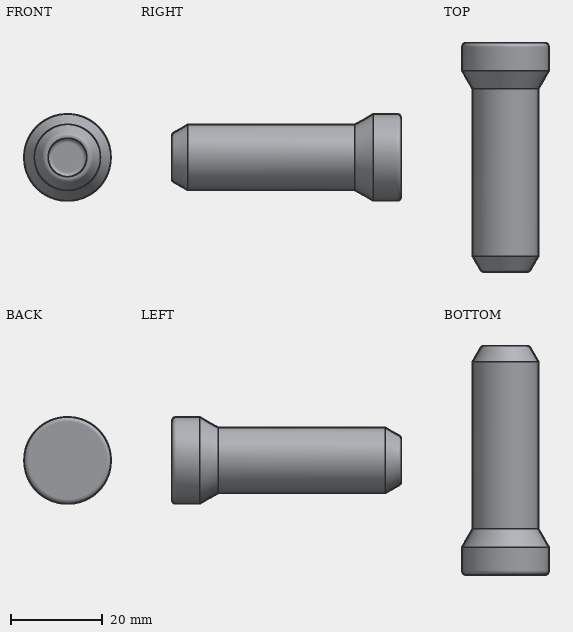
import cadquery as cq
import math

length = 50.0
head_radius = 9.5
shank_radius = 7.2
head_length = 6.1
taper_angle = math.radians(30)
tip_length = 3.5
head_fillet = 1.0
tip_fillet = 1.0

bore_radius = 4.2
bore_floor_radius = 3.25
bore_depth = 40.0

half_length = length / 2
head_taper_length = (head_radius - shank_radius) / math.tan(taper_angle)
tip_radius = shank_radius - tip_length * math.tan(taper_angle)


def make_body():
    """Revolve the solid outline about Y, then round both end rims."""
    body = (
        cq.Workplane("XY")
        .moveTo(0, -half_length)
        .lineTo(tip_radius, -half_length)
        .lineTo(shank_radius, -half_length + tip_length)
        .lineTo(shank_radius, half_length - head_length - head_taper_length)
        .lineTo(head_radius, half_length - head_length)
        .lineTo(head_radius, half_length)
        .lineTo(0, half_length)
        .close()
        .revolve(360, (0, 0, 0), (0, 1, 0))
    )
    body = body.faces(">Y").edges().fillet(head_fillet)
    return body.faces("<Y").edges().fillet(tip_fillet)


def make_bore():
    """Blind bore with a rounded floor corner, entering from the tip."""
    bore = (
        cq.Workplane("XZ", origin=(0, -half_length, 0))
        .circle(bore_radius)
        .extrude(-bore_depth)
    )
    return bore.faces(">Y").edges().fillet(bore_radius - bore_floor_radius)


result = make_body().cut(make_bore())